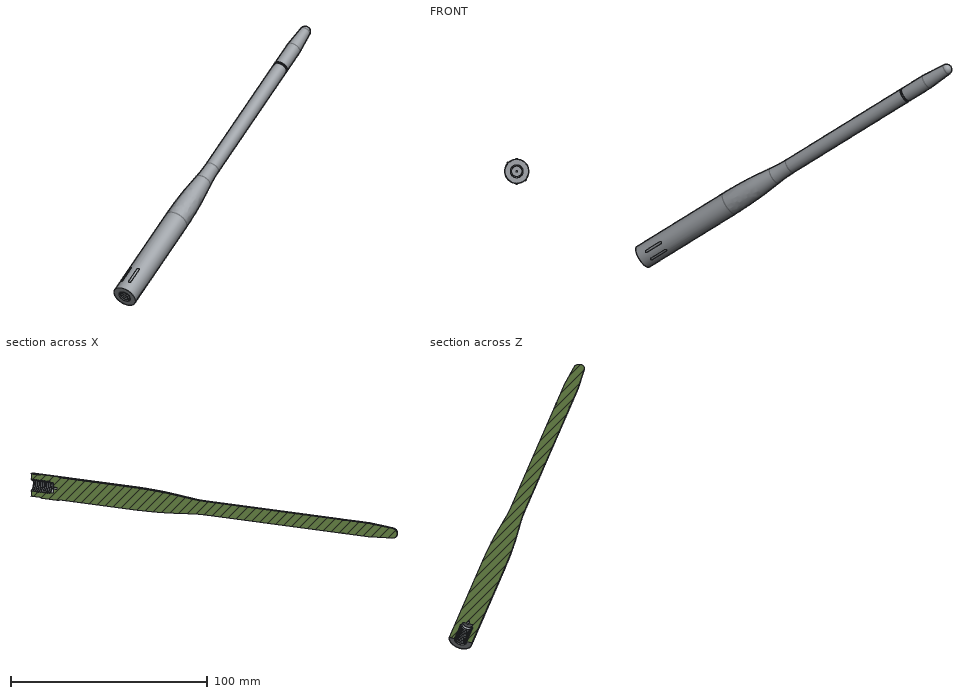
import cadquery as cq
import math


length = 199.0
grip_radius = 6.2
shaft_radius = 3.8

grip_end = 56.0
sweep_joint = 85.0
shaft_start = 95.0

nose_start = length - 15.4
tip_radius = 2.8
tip_start = length - tip_radius

groove_centre = length - 29.5
groove_width = 0.8
groove_depth = 0.3

socket_radius = 2.65
thread_root_radius = 3.3
thread_pitch = 1.0
thread_turns = 10
socket_depth = 12.0
centre_hole_radius = 0.4
centre_hole_depth = 2.0

rib_start = 4.9
rib_length = 10.4
rib_radius = 0.7
rib_height = 0.4
rib_angles = (0, -45, 180, 135)


def sweep_joint_radius():
    concave_share = (shaft_start - sweep_joint) / (shaft_start - grip_end)
    return shaft_radius + (grip_radius - shaft_radius) * concave_share


def make_body():
    dome_middle = tip_radius * math.cos(math.radians(45))
    joint_radius = sweep_joint_radius()
    return (
        cq.Workplane("XY")
        .lineTo(grip_radius, 0)
        .lineTo(grip_radius, grip_end)
        .tangentArcPoint((joint_radius, sweep_joint), relative=False)
        .tangentArcPoint((shaft_radius, shaft_start), relative=False)
        .lineTo(shaft_radius, nose_start)
        .lineTo(tip_radius, tip_start)
        .threePointArc((dome_middle, tip_start + dome_middle), (0, length))
        .close()
        .revolve(360, (0, 0), (0, 1))
    )


def cylinder_along_y(radius, start, size):
    return cq.Workplane("XZ", origin=(0, start, 0)).circle(radius).extrude(-size)


def make_groove():
    start = groove_centre - groove_width / 2
    outer = cylinder_along_y(shaft_radius + groove_depth, start, groove_width)
    return outer.cut(cylinder_along_y(shaft_radius - groove_depth, start, groove_width))


def make_socket():
    profile = cq.Workplane("XY").lineTo(thread_root_radius, 0)
    for turn in range(thread_turns):
        crest = (turn + 0.5) * thread_pitch
        root = (turn + 1) * thread_pitch
        profile = profile.lineTo(socket_radius, crest).lineTo(thread_root_radius, root)
    thread_end = (thread_turns + 0.5) * thread_pitch
    socket = (
        profile
        .lineTo(socket_radius, thread_end)
        .lineTo(socket_radius, socket_depth)
        .lineTo(0, socket_depth)
        .close()
        .revolve(360, (0, 0), (0, 1))
    )
    return socket.union(cylinder_along_y(centre_hole_radius, 0, socket_depth + centre_hole_depth))


def make_rib(angle):
    axis_height = grip_radius + rib_height - rib_radius
    first_ball = rib_start + rib_radius
    last_ball = rib_start + rib_length - rib_radius
    rib = cylinder_along_y(rib_radius, first_ball, last_ball - first_ball)
    for ball_centre in (first_ball, last_ball):
        rib = rib.union(cq.Workplane("XY").sphere(rib_radius).translate((0, ball_centre, 0)))
    return rib.translate((0, 0, axis_height)).rotate((0, 0, 0), (0, 1, 0), angle)


result = make_body().cut(make_groove()).cut(make_socket())
for rib_angle in rib_angles:
    result = result.union(make_rib(rib_angle))